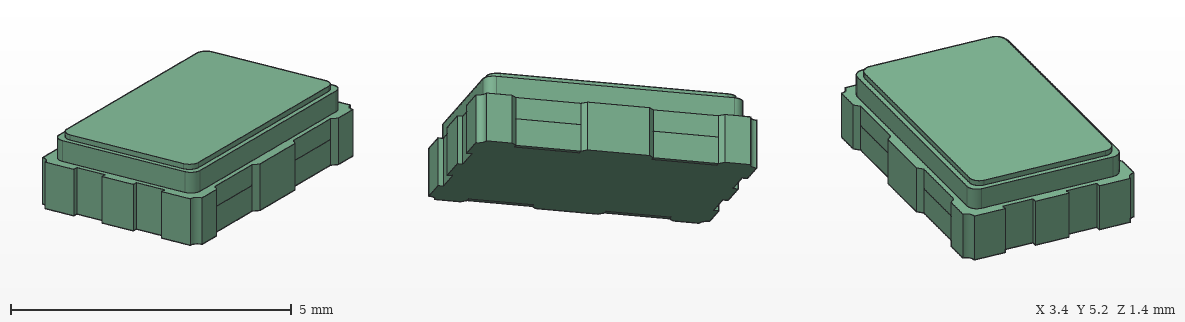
import cadquery as cq

base_width = 3.4
base_length = 5.2

base_height = 0.9
ring_height = 0.4
lid_height = 0.1

ring_inset = 0.2
lid_inset = 0.1
layer_corner_radius = 0.2

notch_depth = 0.1
base_corner_radius = 0.15
end_notch_width = 0.6
end_notch_pitch = 1.27
side_notch_floor = 1.2
side_notch_pitch = 2.545

terminal_height = 0.5
terminal_thickness = 0.1

ring_width = base_width - 2 * ring_inset
ring_length = base_length - 2 * ring_inset
lid_width = ring_width - 2 * lid_inset
lid_length = ring_length - 2 * lid_inset
side_notch_floor_x = base_width / 2 - notch_depth

side_notch_places = [
    (side, end * side_notch_pitch / 2)
    for side in (-1, 1)
    for end in (-1, 1)
]


def corner_cutters():
    """Round posts that scoop out the four vertical corners of the base."""
    return (
        cq.Workplane("XY")
        .rect(base_width, base_length, forConstruction=True)
        .vertices()
        .circle(base_corner_radius)
        .extrude(base_height)
    )


def end_notch_cutters():
    """Square notches, two on each end, over the full base height."""
    return (
        cq.Workplane("XY")
        .rect(end_notch_pitch, base_length, forConstruction=True)
        .vertices()
        .rect(end_notch_width, 2 * notch_depth)
        .extrude(base_height)
    )


def side_notch_cutter(side, centre_y):
    """Notch with 45-degree flanks, narrowing inwards to its floor."""
    floor_half = side_notch_floor / 2
    mouth_half = floor_half + notch_depth
    floor_x = side * side_notch_floor_x
    mouth_x = side * base_width / 2
    return (
        cq.Workplane("XY")
        .polyline([
            (mouth_x, centre_y - mouth_half),
            (floor_x, centre_y - floor_half),
            (floor_x, centre_y + floor_half),
            (mouth_x, centre_y + mouth_half),
        ])
        .close()
        .extrude(base_height)
    )


def make_terminal(side, centre_y):
    """Contact block set into the base behind the lower part of a side notch."""
    centre_x = side * (side_notch_floor_x - terminal_thickness / 2)
    return (
        cq.Workplane("XY")
        .center(centre_x, centre_y)
        .rect(terminal_thickness, side_notch_floor)
        .extrude(terminal_height)
    )


def make_base(terminals):
    """Notched base block with a matching recess for every terminal."""
    base = cq.Workplane("XY").rect(base_width, base_length).extrude(base_height)
    base = base.cut(corner_cutters()).cut(end_notch_cutters())
    for side, centre_y in side_notch_places:
        base = base.cut(side_notch_cutter(side, centre_y))
    for terminal in terminals:
        base = base.cut(terminal)
    return base


def make_layer(width, length, height, bottom_z):
    """Flat plate with rounded vertical corners."""
    return (
        cq.Workplane("XY")
        .workplane(offset=bottom_z)
        .rect(width, length)
        .extrude(height)
        .edges("|Z")
        .fillet(layer_corner_radius)
    )


terminals = [make_terminal(side, centre_y) for side, centre_y in side_notch_places]
base = make_base(terminals)
seal_ring = make_layer(ring_width, ring_length, ring_height, base_height)
lid = make_layer(lid_width, lid_length, lid_height, base_height + ring_height)

result = cq.Compound.makeCompound([
    base.val(),
    seal_ring.val(),
    lid.val(),
    *[terminal.val() for terminal in terminals],
])